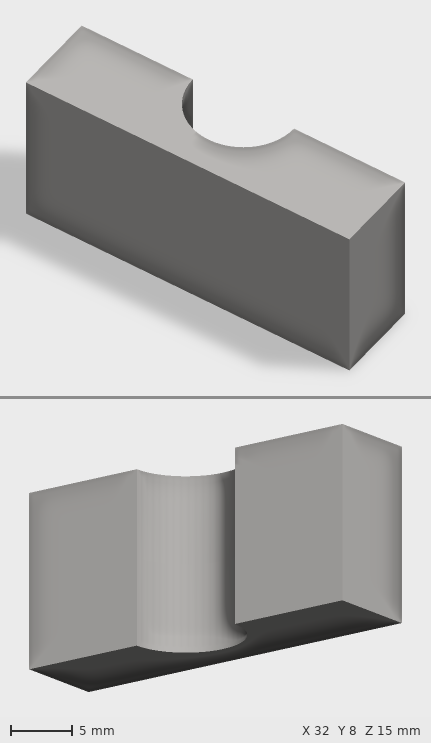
import cadquery as cq

length = 32.0
depth = 8.0
height = 15.0

groove_diameter = 10.0


def make_block():
    return cq.Workplane("XY").box(length, depth, height)


def make_groove_cutter():
    back_face_y = depth / 2
    return (
        cq.Workplane("XY")
        .center(0, back_face_y)
        .circle(groove_diameter / 2)
        .extrude(height, both=True)
    )


result = make_block().cut(make_groove_cutter())